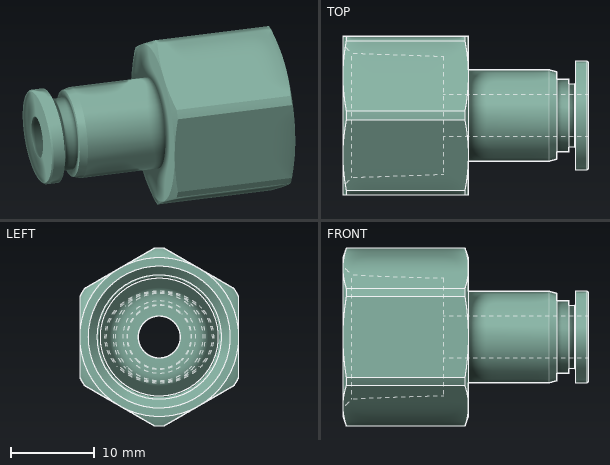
import cadquery as cq
import math

HEX_LENGTH = 15.0
ACROSS_FLATS = 19.0
CORNER_DIAMETER = 21.3
END_CHAMFER_LENGTH = 0.4

SOCKET_DEPTH = 12.03
SOCKET_MOUTH_RADIUS = 8.48
SOCKET_RADIUS = 7.43
SOCKET_FLOOR_RADIUS = 7.05
SOCKET_CHAMFER = SOCKET_MOUTH_RADIUS - SOCKET_RADIUS
THROUGH_HOLE_DIAMETER = 5.0

STEM_RADIUS = 5.5
STEM_TAPER_START = 24.62
STEM_END = 25.55
STEM_END_RADIUS = 5.22
COLLAR_RADIUS = 4.35
COLLAR_END = 27.0
NECK_RADIUS = 3.8
NECK_FLARE = 0.1

BUTTON_START = 27.77
TOTAL_LENGTH = 29.35
BUTTON_WIDTH = 13.03
BUTTON_HEIGHT = 11.0
BUTTON_CHAMFER = 0.18


def revolve_about_x(profile):
    """Revolve closed (x, radius) points around the X axis."""
    return cq.Workplane("XY").polyline(profile).close().revolve(360, (0, 0, 0), (1, 0, 0))


def make_hex_body():
    """Hexagon with flats facing +Y and -Y, corners turned round and ends chamfered."""
    corner_to_corner = ACROSS_FLATS / math.cos(math.pi / 6)
    hexagon = (
        cq.Workplane("YZ")
        .polygon(6, corner_to_corner)
        .extrude(HEX_LENGTH)
        .rotate((0, 0, 0), (1, 0, 0), 90)
    )
    flat_radius = ACROSS_FLATS / 2
    corner_radius = CORNER_DIAMETER / 2
    envelope = revolve_about_x([
        (0, 0),
        (0, flat_radius),
        (END_CHAMFER_LENGTH, corner_radius),
        (HEX_LENGTH - END_CHAMFER_LENGTH, corner_radius),
        (HEX_LENGTH, flat_radius),
        (HEX_LENGTH, 0),
    ])
    return hexagon.intersect(envelope)


def make_stem():
    """Stepped round stem, from the level of the socket floor up to the release button."""
    return revolve_about_x([
        (SOCKET_DEPTH, 0),
        (SOCKET_DEPTH, STEM_RADIUS),
        (STEM_TAPER_START, STEM_RADIUS),
        (STEM_END, STEM_END_RADIUS),
        (STEM_END, COLLAR_RADIUS),
        (COLLAR_END, COLLAR_RADIUS),
        (COLLAR_END, NECK_RADIUS),
        (BUTTON_START - NECK_FLARE, NECK_RADIUS),
        (BUTTON_START, NECK_RADIUS + NECK_FLARE),
        (BUTTON_START, 0),
    ])


def make_button():
    """Elliptical disc with its outer rim chamfered."""
    return (
        cq.Workplane("YZ", origin=(BUTTON_START, 0, 0))
        .ellipse(BUTTON_WIDTH / 2, BUTTON_HEIGHT / 2)
        .extrude(TOTAL_LENGTH - BUTTON_START)
        .faces(">X")
        .chamfer(BUTTON_CHAMFER)
    )


def make_socket():
    """Tapered socket with a chamfered mouth and a flat floor."""
    return revolve_about_x([
        (0, 0),
        (0, SOCKET_MOUTH_RADIUS),
        (SOCKET_CHAMFER, SOCKET_RADIUS),
        (SOCKET_DEPTH, SOCKET_FLOOR_RADIUS),
        (SOCKET_DEPTH, 0),
    ])


through_hole = cq.Workplane("YZ").circle(THROUGH_HOLE_DIAMETER / 2).extrude(TOTAL_LENGTH)

result = (
    make_hex_body()
    .union(make_stem())
    .union(make_button())
    .cut(make_socket())
    .cut(through_hole)
)